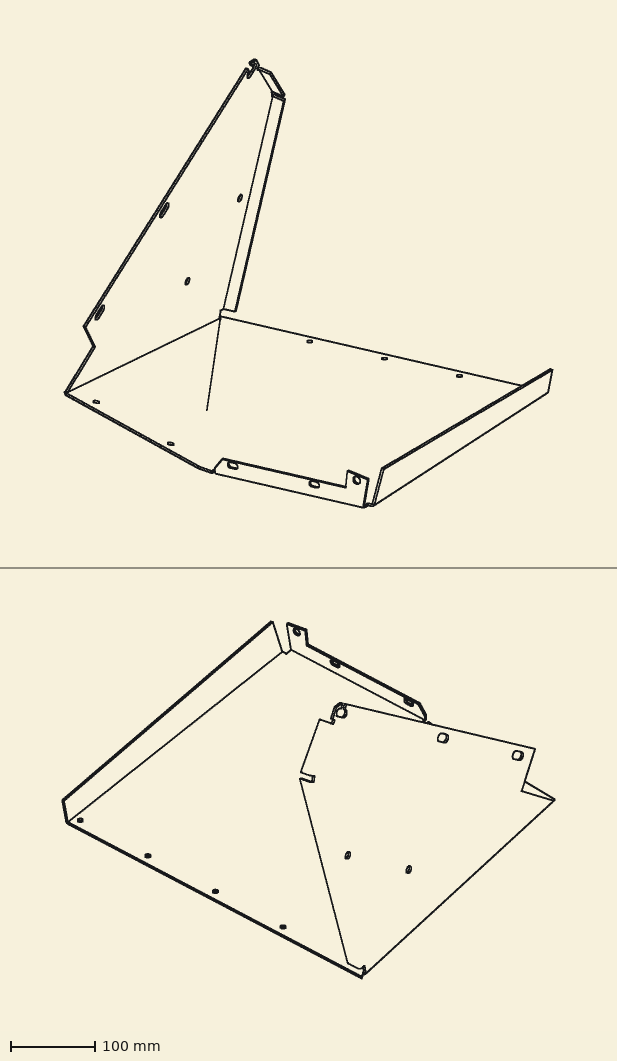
import cadquery as cq

sheet = 3.0
bend_radius = 4.0
flange_width = 18.5
UP = cq.Vector(0, 0, 1)
BACKWARD = cq.Vector(0, 1, 0)

back_y = 415.0
crease_front = (213.0, 6.5)
relief_left = 234.0
relief_left_y = 2.5
relief_right = 239.5
relief_depth = 17.0
corner_x = 443.3
corner_y = 12.0
floor_hole_diameter = 6.5
floor_hole_first_x = 130.0
floor_hole_pitch = 103.5
floor_hole_count = 4
floor_hole_y = 403.0

lip_fold_x = 451.5
lip_lean = 0.2
lip_front_height = 48.0
lip_back_height = 32.5
lip_corner_cut = 7.0

flange_height = 22.0
flange_cut_x = 9.5
flange_cut_z = 13.0
tab_left = 419.5
tab_top_left = (422.0, 44.0)
tab_top_right = (450.0, 39.0)
tab_hole_diameter = 9.5
tab_hole_place = (435.0, 35.0)
front_slot_length = 14.0
front_slot_height = 7.5
front_slot_z = 17.0
front_slot_xs = (264.0, 376.5)

wall_x = -1.0
lean_z = 0.192
lean_y = 0.0124

fold_front = (50.0, 34.5)
notch = (102.0, 80.0)
wall_nose = (68.0, 119.0)
wall_top_front = (369.0, 361.0)
wall_top_back = (379.0, 361.0)
shoulder_front = (392.0, 346.5)
shoulder_back = (438.0, 299.0)
wall_back = (441.5, 292.0)

wall_hole_diameter = 8.8
wall_hole_places = ((403.0, 167.0), (308.0, 91.0))
wall_slot_width = 10.0
wall_slot_length = 20.0
hook_mouth_width = 8.0
wall_slot_places = ((98.0, 127.5), (214.5, 221.0), (372.0, 349.0))

relief_reach = 4.0
hook_foot = (388.5, 350.0)
corner_relief = (55.5, 18.5, 27.5)
corner_relief_y = 407.7

panel_hole_diameter = 7.5
panel_overlap = 18.5
panel_hole_places = ((39.5, 59.5), (157.7, 33.5))


def on_wall(place):
    """Point of the outer wall face at a (y, z) place."""
    y, z = place
    return cq.Vector(wall_x + lean_z * z + lean_y * (y - back_y), y, z)


def panel(points, inward):
    """Flat sheet over a 3D outline of its outer face, thickened along the inward normal."""
    outline = cq.Wire.makePolygon(points, close=True)
    return cq.Workplane(cq.Solid.extrudeLinear(outline, [], inward.normalized() * sheet))


def drill(place, direction, diameter):
    """Cutter for a round hole through a sheet at a point of its outer face."""
    start = place - direction * (2 * sheet)
    return cq.Workplane(cq.Solid.makeCylinder(diameter / 2, 5 * sheet, start, direction))


def slot(place, along, direction, length, width):
    """Cutter for a round-ended slot through a sheet at a point of its outer face."""
    plane = cq.Plane(place - direction * (2 * sheet), along, direction)
    return cq.Workplane(plane).slot2D(length, width).extrude(5 * sheet)


wall_inward = cq.Vector(1, -lean_y, -lean_z).normalized()
back_corner = on_wall((back_y, 0))
crease_point = cq.Vector(*crease_front, 0)
fold_point = on_wall(fold_front)
panel_inward = (back_corner - crease_point).cross(fold_point - crease_point).normalized()
lip_inward = cq.Vector(-1, 0, lip_lean).normalized()


def make_floor():
    outline = [
        cq.Vector(0, back_y, 0),
        crease_point,
        cq.Vector(relief_left, relief_left_y, 0),
        cq.Vector(relief_left, relief_depth, 0),
        cq.Vector(relief_right, relief_depth, 0),
        cq.Vector(relief_right, 0, 0),
        cq.Vector(corner_x, 0, 0),
        cq.Vector(corner_x, corner_y, 0),
        cq.Vector(lip_fold_x, corner_y, 0),
        cq.Vector(lip_fold_x, back_y, 0),
    ]
    floor = panel(outline, UP)
    for index in range(floor_hole_count):
        x = floor_hole_first_x + index * floor_hole_pitch
        floor = floor.cut(drill(cq.Vector(x, floor_hole_y, 0), UP, floor_hole_diameter))
    return floor


def make_lip():
    def lip_point(y, z):
        return cq.Vector(lip_fold_x + lip_lean * z, y, z)

    outline = [
        lip_point(corner_y, 0),
        lip_point(corner_y + lip_corner_cut, lip_front_height),
        lip_point(back_y, lip_back_height),
        lip_point(back_y, 0),
    ]
    return panel(outline, lip_inward)


def make_front_flange():
    outline = [
        (relief_right, 0),
        (relief_right, flange_height - flange_cut_z),
        (relief_right + flange_cut_x, flange_height),
        (tab_left, flange_height),
        tab_top_left,
        tab_top_right,
        (corner_x, 0),
    ]
    flange = panel([cq.Vector(x, 0, z) for x, z in outline], BACKWARD)
    for x in front_slot_xs:
        place = cq.Vector(x, 0, front_slot_z)
        flange = flange.cut(
            slot(place, cq.Vector(1, 0, 0), BACKWARD, front_slot_length, front_slot_height))
    tab_x, tab_z = tab_hole_place
    return flange.cut(drill(cq.Vector(tab_x, 0, tab_z), BACKWARD, tab_hole_diameter))


def make_corner_panel():
    overlap = (crease_point - fold_point).normalized() * panel_overlap
    outline = [back_corner, back_corner + overlap, crease_point + overlap, fold_point]
    body = panel(outline, panel_inward)
    for x, y in panel_hole_places:
        offset = cq.Vector(x, y, 0) - crease_point
        z = -(offset.x * panel_inward.x + offset.y * panel_inward.y) / panel_inward.z
        body = body.cut(drill(cq.Vector(x, y, z), panel_inward, panel_hole_diameter))
    return body


def make_wall():
    outline = [(back_y, 0), fold_front, notch, wall_nose, wall_top_front, wall_top_back,
               shoulder_front, shoulder_back, wall_back]
    wall = panel([on_wall(place) for place in outline], wall_inward)
    edge = (on_wall(wall_top_front) - on_wall(wall_nose)).normalized()
    for place in wall_slot_places:
        wall = wall.cut(slot(on_wall(place), edge, wall_inward, wall_slot_length, wall_slot_width))
    mouth_plane = cq.Plane(on_wall(wall_slot_places[-1]) - wall_inward * sheet, edge, wall_inward)
    mouth = cq.Workplane(mouth_plane).rect(hook_mouth_width, wall_slot_length, centered=(True, False))
    wall = wall.cut(mouth.extrude(3 * sheet))
    for place in wall_hole_places:
        wall = wall.cut(drill(on_wall(place), wall_inward, wall_hole_diameter))
    return wall


def round_bend(body, start, end, normal_a, normal_b):
    """Round the outer fold from start to end between two faces, given their inward normals."""
    along = (end - start).normalized()
    origin = start - along * sheet
    length = (end - start).Length + 2 * sheet
    to_center = (normal_a + normal_b) * (1 / (1 + normal_a.dot(normal_b)))
    center = origin + to_center * bend_radius
    reach = bend_radius + sheet
    kite = [center, center - normal_a * reach, center - to_center * reach, center - normal_b * reach]
    block = cq.Solid.extrudeLinear(cq.Wire.makePolygon(kite, close=True), [], along * length)
    core = cq.Solid.makeCylinder(bend_radius, length, center, along)
    return body.cut(cq.Workplane(block.cut(core)))


def add_wall_flange(side, start, end):
    """Add a flange turned inwards from the wall edge running from start to end."""
    low, high = on_wall(start), on_wall(end)
    reach = wall_inward * flange_width
    inward = wall_inward.cross(high - low).normalized()
    side = side.union(panel([low, high, high + reach, low + reach], inward))
    return round_bend(side, low, high, wall_inward, inward)


def bend_relief(start, end):
    """Cutter that frees the ends of a bend over a stretch of the wall edge."""
    low, high = on_wall(start), on_wall(end)
    plane = cq.Plane((low + high) * 0.5 - wall_inward * sheet, high - low, wall_inward)
    return cq.Workplane(plane).rect((high - low).Length, 2 * relief_reach).extrude(8 * sheet)


def make_side():
    """Leaning wall with its two flanges and the corner panel below it."""
    side = make_wall().union(make_corner_panel())
    side = round_bend(side, back_corner, fold_point, wall_inward, panel_inward)
    side = add_wall_flange(side, (back_y, 0), wall_back)
    side = add_wall_flange(side, shoulder_back, shoulder_front)
    side = side.cut(bend_relief(wall_back, shoulder_back))
    side = side.cut(bend_relief(shoulder_front, hook_foot))
    corner = cq.Workplane().box(*corner_relief, centered=(True, False, True))
    side = side.cut(corner.translate((0, corner_relief_y, 0)))
    below_floor = cq.Workplane().box(3 * back_y, 3 * back_y, back_y, centered=(True, True, False))
    return side.cut(below_floor.translate((0, 0, -back_y)))


def make_tray():
    """Floor with the lip and the front flange."""
    tray = make_floor().union(make_lip()).union(make_front_flange())
    lip_front = cq.Vector(lip_fold_x, corner_y, 0)
    lip_back = cq.Vector(lip_fold_x, back_y, 0)
    tray = round_bend(tray, lip_front, lip_back, UP, lip_inward)
    flange_left = cq.Vector(relief_right, 0, 0)
    flange_right = cq.Vector(corner_x, 0, 0)
    return round_bend(tray, flange_left, flange_right, UP, BACKWARD)


result = make_tray().union(make_side())